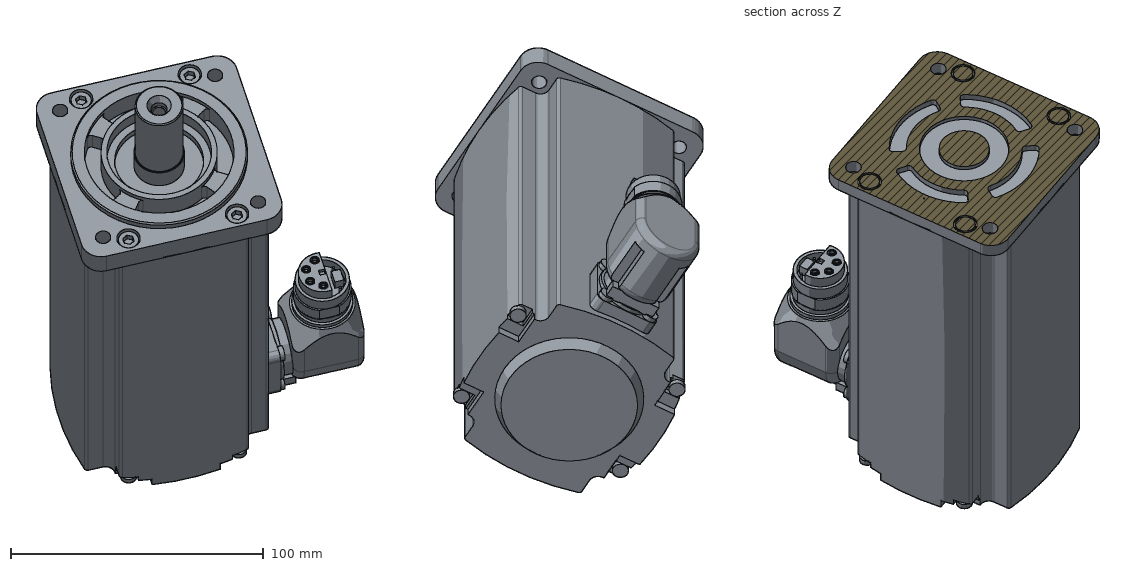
import cadquery as cq
import math


overall_height = 205.2
flange_size = 82.0
flange_thickness = 10.0
flange_corner_radius = 8.0
shaft_projection = 35.0
flange_top = overall_height - shaft_projection
flange_bottom = flange_top - flange_thickness

pilot_diameter = 70.0
pilot_height = 3.0
pilot_top = flange_top + pilot_height
pilot_chamfer = 0.6
recess_depth = 2.0
recess_floor = pilot_top - recess_depth
recess_outer_radius = 29.6
recess_inner_radius = 23.0
slot_depth = 8.0
spoke_half_angle = 10.0
spoke_embedding = 0.8
slot_corner_radius = 1.5
seal_bore_radius = 20.7
seal_bore_floor = flange_top - 3.0
inner_bore_radius = 17.6
inner_bore_floor = flange_top - 6.0
mounting_hole_diameter = 6.0
mounting_hole_offset = 90.0 / 2 / math.sqrt(2)
screw_x = 35.0
screw_y = 22.3
screw_head_diameter = 8.0
screw_counterbore_diameter = 9.2
screw_counterbore_depth = 5.0
screw_head_height = 4.0
screw_socket_across_corners = 4.6
screw_socket_depth = 2.5

shaft_diameter = 19.0
shaft_shoulder_diameter = 20.0
shaft_shoulder_top = pilot_top
shaft_chamfer = 0.5
centre_cone_diameter = 9.6
centre_bore_diameter = 6.4
centre_bore_depth = 5.0
centre_thread_diameter = 5.1
centre_thread_depth = 20.0

housing_bottom = 4.5
housing_half_width = flange_size / 2
side_half_length = 26.6
side_end_offset = 37.5
side_edge_radius = 1.3
notch_fillet_radius = 3.9
end_cap_radius = 27.0
end_cap_top_radius = 29.5

rear_pocket_x = 31.0
rear_pocket_y = 14.0
rear_pocket_top = 8.2
rear_window_x = 32.0
rear_window_y = 19.3
rear_window_top = 10.6
rear_screw_diameter = 6.4
rear_screw_x = 36.2
rear_screw_y = 22.6

plug_y = 67.0
plug_outer_y = 81.0
plug_inner_y = 51.7
plug_half_width = 14.2
plug_axis_z = 20.4
plug_top = 44.2
cone_top_radius = 13.0
cone_slope = math.tan(math.radians(60))
cone_base_radius = cone_top_radius + plug_top / cone_slope
cone_apex_z = plug_top + cone_top_radius * cone_slope
plug_outer_edge_radius = 3.0
plug_inner_edge_radius = 4.0
groove_half_width = 8.0
groove_bottom, groove_top = 8.6, 12.9
groove_outer_y = 73.8
lock_half_width = 10.5
lock_inner_y = 47.5
lock_overlap = 1.5

base_width = 27.0
base_height = 26.0
base_corner_radius = 3.2
base_outer_y = 46.2
base_inner_y = 38.0
neck_diameter = 22.9
collar_diameter = 25.4
collar_outer_y = 47.9
base_screw_diameter = 6.0
base_screw_height = 2.0
base_screw_offset = 9.9

coupling_steps = ((24.2, 46.0), (21.95, 48.7), (22.9, 54.9), (21.55, 60.3))
nut_across_flats = 21.4
nut_bottom, nut_top = 48.7, 54.9
coupling_bore_diameter = 18.6
coupling_bore_floor = 56.0
insert_diameter = 19.0
insert_top = 65.1
insert_edge_y = 68.4
contact_circle_radius = 6.5
contact_diameter = 3.6
contact_bore_diameter = 1.99
contact_angles = (-12, -63, -117, -168)
contact_depth = 1.5
signal_contact_diameter = 0.99
signal_contact_height = 3.0
signal_contact_x = 5.0
signal_contact_y = 5.9
centre_key_size = 2.3
guide_key_half_width = 2.7
guide_key_inner_y, guide_key_outer_y = 71.4, 75.1


def cylinder(x, y, z_bottom, z_top, diameter):
    """Upright cylinder between two heights."""
    return cq.Workplane("XY", origin=(x, y, z_bottom)).circle(diameter / 2).extrude(z_top - z_bottom)


def box(x_range, y_range, z_range):
    """Box given by its limits along each axis."""
    lows, highs = zip(x_range, y_range, z_range)
    sizes = [high - low for low, high in zip(lows, highs)]
    return cq.Workplane("XY").box(*sizes, centered=False).translate(tuple(lows))


def corners(x, y):
    """The four mirrored positions of a point."""
    return [(sx * x, sy * y) for sx in (-1, 1) for sy in (-1, 1)]


def vertical_edge(solid, x, y):
    """Select the vertical edge of the housing that passes through a point."""
    reach = 0.1
    low = (x - reach, y - reach, housing_bottom + reach)
    high = (x + reach, y + reach, flange_bottom - reach)
    return solid.edges(cq.selectors.BoxSelector(low, high))


def make_housing():
    """Extrusion with four bulged sides and a filleted notch at each corner."""
    a, e, m = side_half_length, side_end_offset, housing_half_width
    outline = (
        cq.Workplane("XY", origin=(0, 0, housing_bottom))
        .moveTo(-a, -e).threePointArc((0, -m), (a, -e))
        .lineTo(a, -a).lineTo(e, -a).threePointArc((m, 0), (e, a))
        .lineTo(a, a).lineTo(a, e).threePointArc((0, m), (-a, e))
        .lineTo(-a, a).lineTo(-e, a).threePointArc((-m, 0), (-e, -a))
        .lineTo(-a, -a).close()
    )
    housing = outline.extrude(flange_bottom - housing_bottom)
    for x, y in corners(a, a):
        housing = vertical_edge(housing, x, y).fillet(notch_fillet_radius)
    for x, y in corners(a, e) + corners(e, a):
        housing = vertical_edge(housing, x, y).fillet(side_edge_radius)
    end_cap = (
        cq.Workplane("XY").circle(end_cap_radius)
        .workplane(offset=housing_bottom).circle(end_cap_top_radius).loft()
    )
    return housing.union(end_cap)


def add_rear_screws(body):
    """Open a stepped pocket at each rear corner and set a screw end in its upper part."""
    edge = housing_half_width
    for sx, sy in corners(1, 1):
        def mirrored_box(x_inner, y_inner, z_range):
            return box(sorted((sx * x_inner, sx * edge)), sorted((sy * y_inner, sy * edge)), z_range)

        body = body.cut(mirrored_box(rear_pocket_x, rear_pocket_y, (0, rear_pocket_top)))
        body = body.cut(mirrored_box(rear_window_x, rear_window_y, (rear_pocket_top, rear_window_top)))
        body = body.union(cylinder(sx * rear_screw_x, sy * rear_screw_y, rear_pocket_top,
                                   rear_window_top, rear_screw_diameter))
    return body


def make_flange():
    """Square plate with pilot, seal bore, relief slots and screw holes."""
    flange = (
        cq.Workplane("XY", origin=(0, 0, flange_bottom))
        .rect(flange_size, flange_size).extrude(flange_thickness)
        .edges("|Z").fillet(flange_corner_radius)
    )
    pilot = cylinder(0, 0, flange_top, pilot_top, pilot_diameter).faces(">Z").chamfer(pilot_chamfer)
    flange = flange.union(pilot)
    flange = add_relief_slots(flange)
    flange = flange.cut(cylinder(0, 0, seal_bore_floor, pilot_top, 2 * seal_bore_radius))
    flange = flange.cut(cylinder(0, 0, inner_bore_floor, pilot_top, 2 * inner_bore_radius))
    for x, y in corners(mounting_hole_offset, mounting_hole_offset):
        flange = flange.cut(cylinder(x, y, flange_bottom, flange_top, mounting_hole_diameter))
    for x, y in corners(screw_x, screw_y):
        seat = flange_top - screw_counterbore_depth
        flange = flange.cut(cylinder(x, y, seat, flange_top, screw_counterbore_diameter))
        head = cylinder(x, y, seat, seat + screw_head_height, screw_head_diameter)
        socket = (
            cq.Workplane("XY", origin=(x, y, seat + screw_head_height))
            .polygon(6, screw_socket_across_corners).extrude(-screw_socket_depth)
        )
        flange = flange.union(head.cut(socket))
    return flange


def add_relief_slots(flange):
    """Cut an annular groove and bridge it with four diagonal spokes, leaving four curved slots."""
    slot_floor = recess_floor - slot_depth
    groove = cylinder(0, 0, slot_floor, pilot_top, 2 * recess_outer_radius)
    groove = groove.cut(cylinder(0, 0, slot_floor, pilot_top, 2 * recess_inner_radius))
    flange = flange.cut(groove)
    inner = recess_inner_radius - spoke_embedding
    outer = recess_outer_radius + spoke_embedding
    taper = math.tan(math.radians(spoke_half_angle))
    spoke = (
        cq.Workplane("XY", origin=(0, 0, slot_floor))
        .moveTo(inner, -inner * taper).lineTo(outer, -outer * taper)
        .lineTo(outer, outer * taper).lineTo(inner, inner * taper).close()
        .extrude(slot_depth)
    )
    for angle in (45, 135, 225, 315):
        flange = flange.union(spoke.rotate((0, 0, 0), (0, 0, 1), angle))
    slot_zone = cq.selectors.BoxSelector(
        (-outer, -outer, slot_floor + 1), (outer, outer, recess_floor - 1))
    return flange.edges(slot_zone).fillet(slot_corner_radius)


def make_shaft():
    """Stepped shaft, chamfered at its end and at its shoulder."""
    shaft = cylinder(0, 0, inner_bore_floor, overall_height, shaft_diameter)
    shaft = shaft.faces(">Z").chamfer(shaft_chamfer)
    shoulder = cylinder(0, 0, inner_bore_floor, shaft_shoulder_top, shaft_shoulder_diameter)
    return shaft.union(shoulder.faces(">Z").chamfer(shaft_chamfer / 2))


def make_centre_hole():
    """Countersunk centre hole with a drill point at its end."""
    cone_radius = centre_cone_diameter / 2
    bore_radius = centre_bore_diameter / 2
    thread_radius = centre_thread_diameter / 2
    cone_depth = (cone_radius - bore_radius) * math.tan(math.radians(60))
    point_depth = centre_thread_depth + thread_radius * math.tan(math.radians(30))
    return (
        cq.Workplane("XZ", origin=(0, 0, overall_height))
        .moveTo(0, 0).lineTo(cone_radius, 0).lineTo(bore_radius, -cone_depth)
        .lineTo(bore_radius, -centre_bore_depth).lineTo(thread_radius, -centre_bore_depth)
        .lineTo(thread_radius, -centre_thread_depth).lineTo(0, -point_depth).close()
        .revolve(360, (0, 0, 0), (0, 1, 0))
    )


def rod_along_y(x, z, y_start, y_end, diameter):
    """Cylinder parallel to the Y axis."""
    return cq.Workplane("XZ", origin=(x, y_start, z)).circle(diameter / 2).extrude(y_start - y_end)


def make_connector_base():
    """Base plate on the motor side, its collar, four screws and the swivel neck."""
    base = (
        cq.Workplane("XZ", origin=(0, base_outer_y, plug_axis_z))
        .rect(base_width, base_height).extrude(base_outer_y - base_inner_y)
        .edges("|Y").fillet(base_corner_radius)
    )
    base = base.union(rod_along_y(0, plug_axis_z, base_outer_y, plug_inner_y + 1, neck_diameter))
    base = base.union(rod_along_y(0, plug_axis_z, base_outer_y, collar_outer_y, collar_diameter))
    screw_end = base_outer_y + base_screw_height
    for x, dz in corners(base_screw_offset, base_screw_offset):
        base = base.union(rod_along_y(x, plug_axis_z + dz, base_outer_y, screw_end, base_screw_diameter))
    return base


def make_plug_housing():
    """Angled housing: round underneath, flat sides and a conical top."""
    w = plug_half_width
    plug = (
        cq.Workplane("XZ", origin=(0, plug_outer_y, 0))
        .moveTo(-w, cone_apex_z).lineTo(-w, plug_axis_z)
        .threePointArc((0, plug_axis_z - w), (w, plug_axis_z))
        .lineTo(w, cone_apex_z).close()
        .extrude(plug_outer_y - plug_inner_y)
    )
    plug = plug.faces(">Y").edges("not(>Z)").fillet(plug_outer_edge_radius)
    plug = plug.faces("<Y").edges("not(>Z)").fillet(plug_inner_edge_radius)
    cone = (
        cq.Workplane("XZ", origin=(0, plug_y, 0))
        .moveTo(0, 0).lineTo(cone_base_radius, 0).lineTo(cone_top_radius, plug_top).lineTo(0, plug_top)
        .close().revolve(360, (0, 0, 0), (0, 1, 0))
    )
    plug = plug.intersect(cone)
    for side in (-1, 1):
        groove = box(sorted((side * groove_half_width, side * plug_half_width)),
                     (plug_inner_y, groove_outer_y), (groove_bottom, groove_top))
        plug = plug.cut(groove)
    lock = box((-lock_half_width, lock_half_width), (lock_inner_y, plug_inner_y + lock_overlap),
               (groove_bottom, groove_top))
    return plug.union(lock)


def make_coupling():
    """Round coupling with a flatted nut and a contact insert."""
    coupling = None
    bottom = plug_top - 1
    for diameter, top in coupling_steps:
        step = cylinder(0, plug_y, bottom, top, diameter)
        coupling = step if coupling is None else coupling.union(step)
        bottom = top
    flat = nut_across_flats / 2
    reach = (plug_y - plug_outer_y, plug_outer_y - plug_y)
    for limits in ((-plug_half_width, -flat), (flat, plug_half_width)):
        coupling = coupling.cut(box(limits, reach, (nut_bottom, nut_top)).translate((0, plug_y, 0)))
    coupling = coupling.cut(
        cylinder(0, plug_y, coupling_bore_floor, coupling_steps[-1][1], coupling_bore_diameter))
    return coupling.union(make_insert())


def make_insert():
    """Raised contact carrier with tubular power contacts and signal pins."""
    half = insert_diameter / 2
    insert = cylinder(0, plug_y, coupling_bore_floor, insert_top, insert_diameter)
    insert = insert.intersect(
        box((-half, half), (plug_y - half, insert_edge_y), (coupling_bore_floor, insert_top)))
    for angle in contact_angles:
        x = contact_circle_radius * math.cos(math.radians(angle))
        y = plug_y + contact_circle_radius * math.sin(math.radians(angle))
        floor = insert_top - contact_depth
        insert = insert.cut(cylinder(x, y, floor, insert_top, contact_diameter))
        tube = cylinder(x, y, floor, insert_top, contact_diameter - 0.6)
        insert = insert.union(tube.cut(cylinder(x, y, floor, insert_top, contact_bore_diameter)))
    for x in (-signal_contact_x, signal_contact_x):
        insert = insert.union(cylinder(
            x, plug_y + signal_contact_y, coupling_bore_floor,
            coupling_bore_floor + signal_contact_height, signal_contact_diameter))
    centre = centre_key_size / 2
    key_hole = box((-centre, centre), (plug_y - centre, plug_y + centre),
                   (insert_top - contact_depth, insert_top))
    guide_key = box((-guide_key_half_width, guide_key_half_width), (guide_key_inner_y, guide_key_outer_y),
                    (coupling_bore_floor, coupling_steps[-1][1]))
    return insert.cut(key_hole).union(guide_key)


result = make_housing()
result = add_rear_screws(result)
result = result.union(make_flange()).union(make_shaft()).cut(make_centre_hole())
result = result.union(make_connector_base()).union(make_plug_housing()).union(make_coupling())